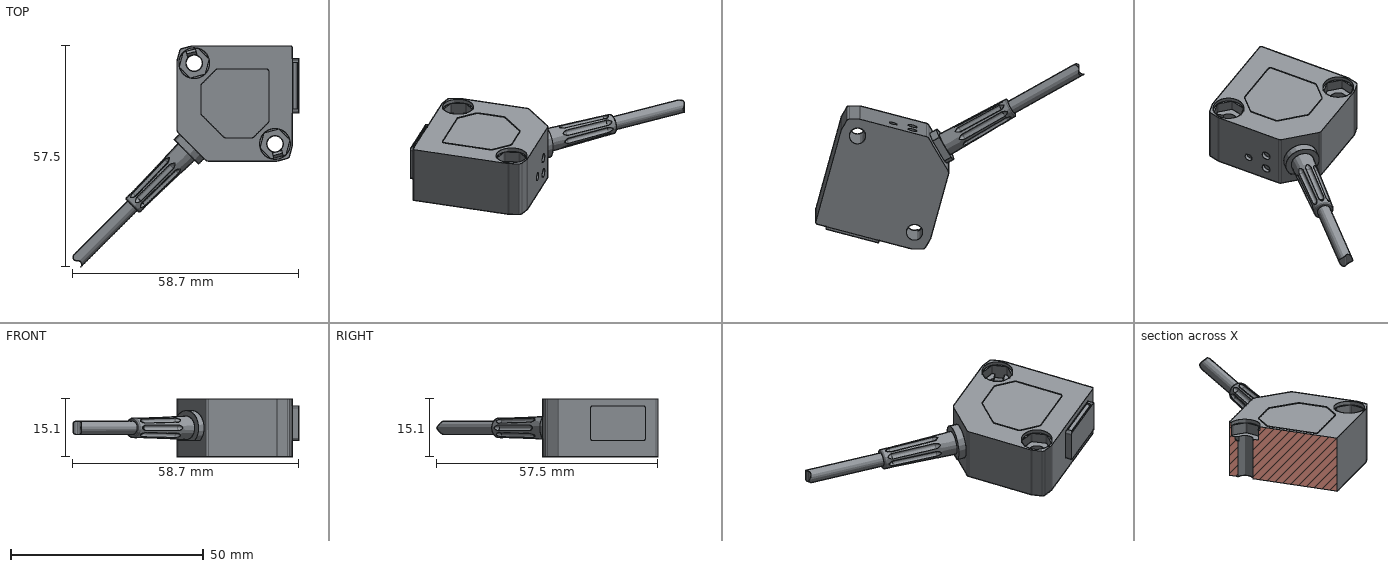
import cadquery as cq
import math

SIDE = 30.0
HEIGHT = 15.05
TOP = HEIGHT / 2
CABLE_CHAMFER = 7.75
CABLE_CHAMFER_FILLET = 1.0
PLAIN_CORNER_FILLET = 0.5
HOLE_CORNER_SETBACK = 3.95
HOLE_CORNER_ANGLE = 15.0
HOLE_CORNER_FILLET = 0.8
BEVEL_START_FILLET = 1.0

RECESS_LEFT = 6.25
RECESS_BOTTOM = 6.1
RECESS_RIGHT = 23.9
RECESS_TOP = 24.0
RECESS_HOLE_CHAMFER = 4.1
RECESS_CABLE_CHAMFER = 6.1
RECESS_FILLET = 0.7
RECESS_DEPTH = 0.2

HOLE_INSET = 4.5
HOLE_DIAMETER = 4.2
COUNTERBORE_DIAMETER = 8.0
COUNTERBORE_DEPTH = 1.0
NUT_ACROSS_FLATS = 7.0
NUT_CORNER_FILLET = 0.3
NUT_FLOOR_DEPTH = 3.8
NUT_ANGLE = 45.0

NOTCH_WIDTH = 2.5
NOTCH_DEPTH = 1.2
NOTCH_RIDGE_DEPTH = 0.6
NOTCH_ANGLE = 105.0

INDICATORS = [(11.9, 0.3, 2.3), (11.9, -4.1, 2.3), (17.1, -2.45, 2.0)]
INDICATOR_DEPTH = 1.0

WINDOW_PROTRUSION = 1.67
WINDOW_LENGTH = 14.2
WINDOW_HEIGHT = 9.0
WINDOW_Y = 19.6
WINDOW_FLOOR_GAP = 4.25
WINDOW_BOTTOM = WINDOW_FLOOR_GAP - TOP
WINDOW_FILLET = 0.5
GROOVE_LENGTH = 12.0
GROOVE_START = 0.2
GROOVE_END = 1.3
GROOVE_DEPTH = (GROOVE_END - GROOVE_START) / 2

CABLE_DIRECTION = 225.0
CABLE_AXIS_DEPTH = 7.5
CABLE_AXIS_Z = TOP - CABLE_AXIS_DEPTH
COLLAR_DIAMETER = 9.0
COLLAR_LENGTH = 2.0
COLLAR_FLAT = 3.3
BOOT_ROOT_RADIUS = 3.05
BOOT_TIP_RADIUS = 2.55
BOOT_LENGTH = 19.8
BOOT_TIP_FILLET = 0.3
CABLE_RADIUS = 1.75
CABLE_END = 42.08
BREAK_CREST = 0.39
BREAK_EDGE = 0.54
FLUTE_COUNT = 8
FLUTE_RADIUS = 0.73
FLUTE_LENGTH = 12.0
FLUTE_TIP = 1.25
FLUTE_TIP_FULLNESS = 0.6
FLUTE_MIDDLE = 13.45

EMBED = 1.0


def housing():
    rise = math.tan(math.radians(HOLE_CORNER_ANGLE))
    near = HOLE_CORNER_SETBACK * rise / (1 + rise)
    setback = HOLE_CORNER_SETBACK
    block = (
        cq.Workplane("XY", origin=(0, 0, -TOP))
        .moveTo(CABLE_CHAMFER, 0)
        .lineTo(SIDE - setback, 0)
        .lineTo(SIDE - near, near)
        .lineTo(SIDE, setback)
        .lineTo(SIDE, SIDE)
        .lineTo(setback, SIDE)
        .lineTo(near, SIDE - near)
        .lineTo(0, SIDE - setback)
        .lineTo(0, CABLE_CHAMFER)
        .close()
        .extrude(HEIGHT)
    )

    def round_edges(body, corners, radius):
        for x, y in corners:
            body = body.edges(cq.selectors.NearestToPointSelector((x, y, 0))).fillet(radius)
        return body

    block = round_edges(block, [(CABLE_CHAMFER, 0), (0, CABLE_CHAMFER)], CABLE_CHAMFER_FILLET)
    block = round_edges(block, [(SIDE - near, near), (near, SIDE - near)], HOLE_CORNER_FILLET)
    bevel_starts = [(SIDE - setback, 0), (SIDE, setback), (setback, SIDE), (0, SIDE - setback)]
    block = round_edges(block, bevel_starts, BEVEL_START_FILLET)
    return round_edges(block, [(SIDE, SIDE)], PLAIN_CORNER_FILLET)


def top_recess():
    return (
        cq.Workplane("XY", origin=(0, 0, TOP - RECESS_DEPTH))
        .moveTo(RECESS_LEFT + RECESS_CABLE_CHAMFER, RECESS_BOTTOM)
        .lineTo(RECESS_RIGHT - RECESS_HOLE_CHAMFER, RECESS_BOTTOM)
        .lineTo(RECESS_RIGHT, RECESS_BOTTOM + RECESS_HOLE_CHAMFER)
        .lineTo(RECESS_RIGHT, RECESS_TOP)
        .lineTo(RECESS_LEFT + RECESS_HOLE_CHAMFER, RECESS_TOP)
        .lineTo(RECESS_LEFT, RECESS_TOP - RECESS_HOLE_CHAMFER)
        .lineTo(RECESS_LEFT, RECESS_BOTTOM + RECESS_CABLE_CHAMFER)
        .close()
        .extrude(RECESS_DEPTH)
        .edges("|Z")
        .fillet(RECESS_FILLET)
    )


def nut_notch():
    """Notch along +X from the hole axis to the nut flat, its floor a roof-shaped ridge."""
    inner = HOLE_DIAMETER / 2
    outer = NUT_ACROSS_FLATS / 2
    floor = TOP - NUT_FLOOR_DEPTH
    return (
        cq.Workplane("XZ", origin=(0, NOTCH_WIDTH / 2, 0))
        .moveTo(0, floor)
        .lineTo(0, floor - NOTCH_DEPTH)
        .lineTo(inner, floor - NOTCH_DEPTH)
        .lineTo((inner + outer) / 2, floor - NOTCH_RIDGE_DEPTH)
        .lineTo(outer, floor - NOTCH_DEPTH)
        .lineTo(outer, floor)
        .close()
        .extrude(NOTCH_WIDTH)
    )


def screw_hole(x, y, notch_angle):
    bore = cq.Workplane("XY", origin=(0, 0, -TOP)).circle(HOLE_DIAMETER / 2).extrude(HEIGHT)
    counterbore = (
        cq.Workplane("XY", origin=(0, 0, TOP - COUNTERBORE_DEPTH))
        .circle(COUNTERBORE_DIAMETER / 2)
        .extrude(COUNTERBORE_DEPTH)
    )
    nut_pocket = (
        cq.Workplane("XY", origin=(0, 0, TOP - NUT_FLOOR_DEPTH))
        .polygon(6, NUT_ACROSS_FLATS, circumscribed=True)
        .extrude(NUT_FLOOR_DEPTH - COUNTERBORE_DEPTH)
        .edges("|Z")
        .fillet(NUT_CORNER_FILLET)
        .rotate((0, 0, 0), (0, 0, 1), NUT_ANGLE)
    )
    notch = nut_notch().rotate((0, 0, 0), (0, 0, 1), notch_angle)
    return bore.union(counterbore).union(nut_pocket).union(notch).translate((x, y, 0))


def indicator_hole(y, z, diameter):
    return (
        cq.Workplane("YZ")
        .center(y, z)
        .circle(diameter / 2)
        .extrude(INDICATOR_DEPTH)
    )


def window_block():
    block = (
        cq.Workplane("XY", origin=(SIDE - EMBED, WINDOW_Y, WINDOW_BOTTOM))
        .box(EMBED + WINDOW_PROTRUSION, WINDOW_LENGTH, WINDOW_HEIGHT, centered=(False, True, False))
        .edges("|X")
        .fillet(WINDOW_FILLET)
    )
    block_top = WINDOW_BOTTOM + WINDOW_HEIGHT
    groove = (
        cq.Workplane("XZ", origin=(SIDE, WINDOW_Y + GROOVE_LENGTH / 2, block_top))
        .moveTo(GROOVE_START, 0)
        .threePointArc(((GROOVE_START + GROOVE_END) / 2, -GROOVE_DEPTH), (GROOVE_END, 0))
        .close()
        .extrude(GROOVE_LENGTH)
    )
    return block.cut(groove)



def collar():
    flat_cut = (
        cq.Workplane("XY", origin=(0, 0, -COLLAR_FLAT - COLLAR_DIAMETER))
        .rect(2 * (EMBED + COLLAR_LENGTH), 2 * COLLAR_DIAMETER)
        .extrude(COLLAR_DIAMETER)
    )
    disc = (
        cq.Workplane("YZ", origin=(-EMBED, 0, 0))
        .circle(COLLAR_DIAMETER / 2)
        .extrude(EMBED + COLLAR_LENGTH)
    )
    return disc.cut(flat_cut)


def flute():
    """Spindle-shaped cutter centred on the origin, with pointed rounded ends."""
    half = FLUTE_LENGTH / 2
    tip = half + FLUTE_TIP
    bulge_x = half + FLUTE_TIP_FULLNESS * FLUTE_TIP
    bulge_r = FLUTE_TIP_FULLNESS * FLUTE_RADIUS
    return (
        cq.Workplane("XY")
        .moveTo(-tip, 0)
        .threePointArc((-bulge_x, bulge_r), (-half, FLUTE_RADIUS))
        .lineTo(half, FLUTE_RADIUS)
        .threePointArc((bulge_x, bulge_r), (tip, 0))
        .close()
        .revolve(360, (0, 0, 0), (1, 0, 0))
    )


def boot():
    end = COLLAR_LENGTH + BOOT_LENGTH
    body = (
        cq.Workplane("XY")
        .moveTo(COLLAR_LENGTH - EMBED, 0)
        .lineTo(COLLAR_LENGTH - EMBED, BOOT_ROOT_RADIUS)
        .lineTo(COLLAR_LENGTH, BOOT_ROOT_RADIUS)
        .lineTo(end, BOOT_TIP_RADIUS)
        .lineTo(end, 0)
        .close()
        .revolve(360, (0, 0, 0), (1, 0, 0))
        .faces(">X")
        .edges()
        .fillet(BOOT_TIP_FILLET)
    )
    slope = (BOOT_ROOT_RADIUS - BOOT_TIP_RADIUS) / BOOT_LENGTH
    surface_radius = BOOT_ROOT_RADIUS - slope * (FLUTE_MIDDLE - COLLAR_LENGTH)
    taper = math.degrees(math.atan(slope))
    cutter = (
        flute()
        .rotate((0, 0, 0), (0, 1, 0), taper)
        .translate((FLUTE_MIDDLE, 0, surface_radius))
    )
    for index in range(FLUTE_COUNT):
        body = body.cut(cutter.rotate((0, 0, 0), (1, 0, 0), index * 360 / FLUTE_COUNT))
    return body


def cable():
    """Round cable whose free end is an S-shaped break."""
    start = COLLAR_LENGTH + BOOT_LENGTH - EMBED
    half = CABLE_RADIUS / 2
    outside = 2 * CABLE_RADIUS
    keep = (
        cq.Workplane("XY", origin=(0, 0, -outside))
        .moveTo(start, outside)
        .lineTo(start, -outside)
        .lineTo(CABLE_END - BREAK_EDGE, -outside)
        .lineTo(CABLE_END - BREAK_EDGE, -CABLE_RADIUS)
        .threePointArc((CABLE_END + BREAK_CREST, -half), (CABLE_END, 0))
        .threePointArc((CABLE_END - BREAK_CREST, half), (CABLE_END + BREAK_EDGE, CABLE_RADIUS))
        .lineTo(CABLE_END + BREAK_EDGE, outside)
        .close()
        .extrude(2 * outside)
    )
    rod = cq.Workplane("YZ", origin=(start, 0, 0)).circle(CABLE_RADIUS).extrude(CABLE_END)
    return rod.intersect(keep)


def cable_assembly():
    assembly = collar().union(boot()).union(cable())
    return (
        assembly
        .rotate((0, 0, 0), (0, 0, 1), CABLE_DIRECTION)
        .translate((CABLE_CHAMFER / 2, CABLE_CHAMFER / 2, CABLE_AXIS_Z))
    )


result = housing().union(window_block()).union(cable_assembly())
result = result.cut(top_recess())
result = result.cut(screw_hole(HOLE_INSET, SIDE - HOLE_INSET, NOTCH_ANGLE))
result = result.cut(screw_hole(SIDE - HOLE_INSET, HOLE_INSET, NOTCH_ANGLE + 180))
for hole_y, hole_z, hole_diameter in INDICATORS:
    result = result.cut(indicator_hole(hole_y, hole_z, hole_diameter))